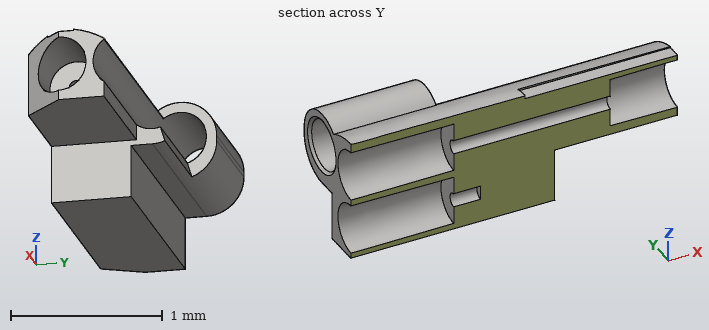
import cadquery as cq
import math

LENGTH = 2.43
HALF_WIDTH = 0.271
LIP_Y = 0.307
EDGE_Z = 0.82
CROWN_FRONT_Z = 0.90
CROWN_REAR_Z = 0.887
LOWER_LENGTH = 1.518
STEP_Z = 0.394
FRONT_BEVEL = HALF_WIDTH / 2
REAR_BEVEL = HALF_WIDTH

TUBE_Z = 0.645
TUBE_RADIUS = 0.253
TUBE_OUTER_Y = 0.669
TUBE_Y = TUBE_OUTER_Y - TUBE_RADIUS
TUBE_DROP = 0.035
TUBE_BOTTOM_Z = TUBE_Z - TUBE_DROP - TUBE_RADIUS
TUBE_LENGTH = 0.764
TUBE_HOLE_DIAMETER = 0.365
TUBE_CHAMFER = 0.02
CRADLE_RIM_ANGLE = 17.0

UPPER_BORE_Z = TUBE_Z
LOWER_BORE_Z = 0.227
BORE_DIAMETER = 0.37
BORE_FLOOR_DIAMETER = 0.36
FRONT_BORE_DEPTH = TUBE_LENGTH
REAR_BORE_DEPTH = 0.5
PASSAGE_DIAMETER = 0.10
BLIND_PASSAGE_DEPTH = 0.20

RECESS_START_X = 1.297
RECESS_WIDTH = 0.20
RECESS_FLOOR_Z = 0.87


def box(x_range, y_range, z_range):
    sizes = [high - low for low, high in (x_range, y_range, z_range)]
    corner = (x_range[0], y_range[0], z_range[0])
    return cq.Workplane("XY").box(*sizes, centered=False).translate(corner)


def rod_x(diameter, length, y, z):
    start = cq.Vector(0, y, z)
    return cq.Workplane(cq.Solid.makeCylinder(diameter / 2, length, start, cq.Vector(1, 0, 0)))


def cone_x(start_diameter, end_diameter, x_start, length, y, z, direction=1):
    start = cq.Vector(x_start, y, z)
    axis = cq.Vector(direction, 0, 0)
    cone = cq.Solid.makeCone(start_diameter / 2, end_diameter / 2, length, start, axis)
    return cq.Workplane(cone)


def body_section(x, crown_z):
    """Cross-section with an arched top through the long -Y edge and the crown."""
    rise = crown_z - EDGE_Z
    arch_radius = (HALF_WIDTH**2 + rise**2) / (2 * rise)
    lip_z = crown_z - arch_radius + math.sqrt(arch_radius**2 - LIP_Y**2)
    outline = (
        cq.Workplane("YZ", origin=(x, 0, 0))
        .moveTo(-HALF_WIDTH, 0)
        .lineTo(HALF_WIDTH, 0)
        .lineTo(HALF_WIDTH, TUBE_BOTTOM_Z)
        .lineTo(LIP_Y, TUBE_BOTTOM_Z)
        .lineTo(LIP_Y, lip_z)
        .threePointArc((0, crown_z), (-HALF_WIDTH, EDGE_Z))
        .close()
    )
    return outline.val()


def make_body():
    sections = [body_section(0, CROWN_FRONT_Z), body_section(LENGTH, CROWN_REAR_Z)]
    body = cq.Workplane(cq.Solid.makeLoft(sections, True))
    return body.cut(box((LOWER_LENGTH, LENGTH), (-HALF_WIDTH, LIP_Y), (0, STEP_Z)))


def bevel_ends(part):
    """Slant the -Y half of each end face."""
    plan = (
        cq.Workplane("XY")
        .moveTo(0, TUBE_OUTER_Y)
        .lineTo(0, 0)
        .lineTo(FRONT_BEVEL, -HALF_WIDTH)
        .lineTo(LENGTH - REAR_BEVEL, -HALF_WIDTH)
        .lineTo(LENGTH, 0)
        .lineTo(LENGTH, TUBE_OUTER_Y)
        .close()
        .extrude(CROWN_FRONT_Z)
    )
    return part.intersect(plan)


def make_tube(length):
    """Tube with a stretched round outline and a web joining it to the body."""
    lower_z = TUBE_Z - TUBE_DROP
    return (
        cq.Workplane("YZ")
        .moveTo(HALF_WIDTH, TUBE_BOTTOM_Z)
        .lineTo(TUBE_Y, TUBE_BOTTOM_Z)
        .radiusArc((TUBE_OUTER_Y, lower_z), -TUBE_RADIUS)
        .lineTo(TUBE_OUTER_Y, TUBE_Z)
        .threePointArc((TUBE_Y, TUBE_Z + TUBE_RADIUS), (TUBE_Y - TUBE_RADIUS, TUBE_Z))
        .lineTo(HALF_WIDTH, TUBE_Z)
        .close()
        .extrude(length)
    )


def make_cradle():
    """Trough below the tube hole, ending at a rim that is radial to the hole."""
    rim_reach = TUBE_Z * math.tan(math.radians(CRADLE_RIM_ANGLE))
    wedge = (
        cq.Workplane("YZ")
        .moveTo(TUBE_Y, TUBE_Z)
        .lineTo(TUBE_Y + rim_reach, 0)
        .lineTo(HALF_WIDTH, 0)
        .lineTo(HALF_WIDTH, TUBE_Z)
        .close()
        .extrude(LOWER_LENGTH)
    )
    return make_tube(LOWER_LENGTH).intersect(wedge)


def cut_tube_hole(part):
    mouth_diameter = TUBE_HOLE_DIAMETER + 2 * TUBE_CHAMFER
    hole = rod_x(TUBE_HOLE_DIAMETER, LENGTH, TUBE_Y, TUBE_Z)
    chamfer = cone_x(mouth_diameter, TUBE_HOLE_DIAMETER, 0, TUBE_CHAMFER, TUBE_Y, TUBE_Z)
    return part.cut(hole).cut(chamfer)


def cut_bores(part):
    """Two tapered bores in the front end and one in the rear end."""
    for bore_z in (UPPER_BORE_Z, LOWER_BORE_Z):
        part = part.cut(cone_x(BORE_DIAMETER, BORE_FLOOR_DIAMETER, 0, FRONT_BORE_DEPTH, 0, bore_z))
    rear_bore = cone_x(
        BORE_DIAMETER, BORE_FLOOR_DIAMETER, LENGTH, REAR_BORE_DEPTH, 0, UPPER_BORE_Z, direction=-1
    )
    return part.cut(rear_bore)


def cut_passages(part):
    """Fine upper passage between the bores, and a blind one in the floor of the lower bore."""
    part = part.cut(rod_x(PASSAGE_DIAMETER, LENGTH, 0, UPPER_BORE_Z))
    blind_end_x = FRONT_BORE_DEPTH + BLIND_PASSAGE_DEPTH
    return part.cut(rod_x(PASSAGE_DIAMETER, blind_end_x, 0, LOWER_BORE_Z))


def cut_recess(part):
    half_recess = RECESS_WIDTH / 2
    recess = box((RECESS_START_X, LENGTH), (-half_recess, half_recess), (RECESS_FLOOR_Z, CROWN_FRONT_Z))
    return part.cut(recess)


part = make_body().union(make_tube(TUBE_LENGTH)).union(make_cradle())
part = bevel_ends(part)
part = cut_tube_hole(part)
part = cut_bores(part)
part = cut_passages(part)
result = cut_recess(part)